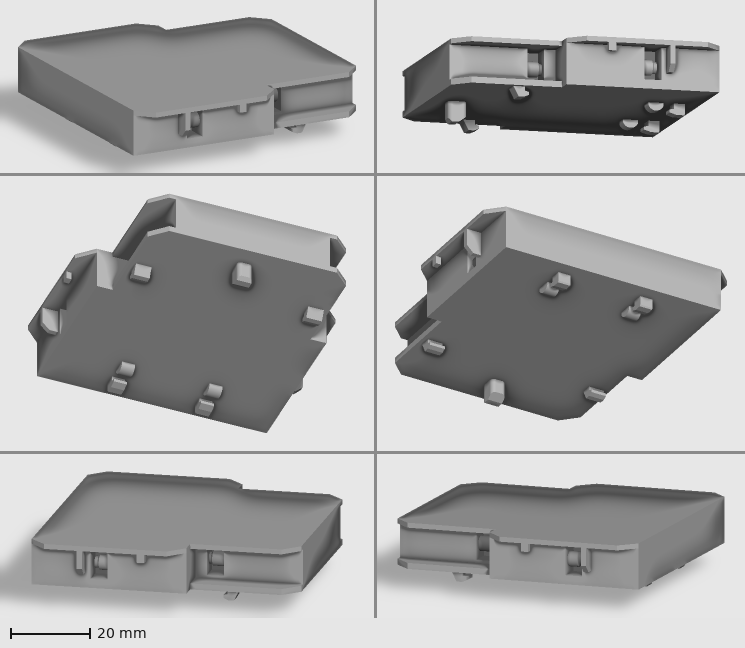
import cadquery as cq

length_y = 68.0
housing_height = 11.9
overall_height = 17.2
front_y = -length_y / 2
rear_y = length_y / 2

cover_width = 71.0
cover_thickness = 1.3
neck_width = 54.1
step_y = 6.1
corner_clip = 4.2

front_block_width = cover_width - 2 * corner_clip
rear_core_width = 42.0
base_flange_thickness = 1.55

short_tab_y = (-5.8, -3.9)
short_tab_drop = 2.1
short_tab_depth = 1.4
long_tab_y = (-21.4, -20.0)
long_tab_drop = 6.6
long_tab_clip = 1.9

window_length = 4.4
window_height = 8.3
window_depth = 5.7
front_window_y = -14.35
rear_window_y = 13.5

screw_head_diameter = 4.0
screw_head_length = 3.4
screw_tip_diameter = 3.0
screw_tip_length = 0.8
screw_cone_length = 0.4
screw_center_z = housing_height - 5.9
screw_inset = 3.4
front_screw_sink = 0.8

outer_hook_x = (21.4, 25.6)
outer_hook_y = (15.5, 18.45)
outer_hook_drop = 2.6
outer_hook_tip_y = (15.6, 17.1)
outer_barb_y = 14.4
outer_barb_drop = (1.1, 1.35, 2.1)
inner_hook_x = (10.15, 13.7)
inner_hook_y = (-29.9, -27.0)
inner_hook_drop = 2.9
inner_hook_tip_y = (-29.7, -27.7)
inner_hook_bevel_drop = 2.5
inner_barb_y = -25.85
inner_barb_drop = (1.35, 1.55, 2.35)
rounded_foot_y = -22.3
rounded_foot_width = 4.0
rounded_foot_side = 0.7
rounded_foot_drop = 2.05
key_width_x = 4.05
key_y = (24.1, 28.9)
key_drop = overall_height - housing_height
key_corner_radius = 1.1
key_tip_y = (26.1, 28.0)
key_front_bevel_drop = 3.75
key_rear_bevel_drop = 4.25

cover_bottom = housing_height - cover_thickness


def box(x_range, y_range, z_range):
    """Axis-aligned box between the given limits."""
    (x0, x1), (y0, y1), (z0, z1) = (sorted(limits) for limits in (x_range, y_range, z_range))
    return cq.Workplane("XY").box(x1 - x0, y1 - y0, z1 - z0, centered=False).translate((x0, y0, z0))


def side_profile(points, x_range):
    """Outline of (Y, Z) points extruded along X between two positions."""
    x0, x1 = x_range
    return cq.Workplane("YZ").polyline(points).close().extrude(x1 - x0).translate((x0, 0, 0))


def with_mirror(body):
    """A feature together with its mirror image on the other side of X = 0."""
    return body.union(body.mirror("YZ"))


def neck_plate(bottom, thickness):
    """Plate of the narrow rear area with its two rear corners clipped."""
    plate = box((-neck_width / 2, neck_width / 2), (0, rear_y), (bottom, bottom + thickness))
    return plate.faces(">Y").edges("|Z").chamfer(corner_clip)


def cover():
    wide = box((-cover_width / 2, cover_width / 2), (front_y, step_y), (cover_bottom, housing_height))
    wide = wide.edges("|Z").chamfer(corner_clip)
    return wide.union(neck_plate(cover_bottom, cover_thickness))


def walls():
    front_half = front_block_width / 2
    rear_half = rear_core_width / 2
    front_block = box((-front_half, front_half), (front_y, step_y), (0, cover_bottom))
    rear_core = box((-rear_half, rear_half), (0, rear_y), (0, cover_bottom))
    return front_block.union(rear_core).union(neck_plate(0, base_flange_thickness))


def cover_tabs():
    edge = -cover_width / 2
    short_tab = box((edge, edge + short_tab_depth), short_tab_y, (cover_bottom - short_tab_drop, cover_bottom))
    long_tab = box((edge, -front_block_width / 2), long_tab_y, (cover_bottom - long_tab_drop, cover_bottom))
    long_tab = long_tab.edges("<X and <Z").chamfer(long_tab_clip)
    return with_mirror(short_tab.union(long_tab))


def windows():
    z_range = (cover_bottom - window_height, cover_bottom)
    openings = cq.Workplane("XY")
    for wall_x, wall_y in ((front_block_width / 2, front_window_y), (rear_core_width / 2, rear_window_y)):
        opening = box((wall_x - window_depth, wall_x), (wall_y - window_length, wall_y), z_range)
        openings = openings.union(with_mirror(opening))
    return openings


def outer_hooks():
    """Slanted hooks with their barb toward the front."""
    stem_front, stem_rear = outer_hook_y
    tip_front, tip_rear = outer_hook_tip_y
    root, nose_top, nose_bottom = outer_barb_drop
    points = [
        (stem_rear, 0), (tip_rear, -outer_hook_drop), (tip_front, -outer_hook_drop),
        (outer_barb_y, -nose_bottom), (outer_barb_y, -nose_top), (stem_front, -root), (stem_front, 0),
    ]
    return with_mirror(side_profile(points, outer_hook_x))


def inner_hooks():
    """Upright hooks with their barb toward the rear."""
    stem_front, stem_rear = inner_hook_y
    tip_front, tip_rear = inner_hook_tip_y
    root, nose_top, nose_bottom = inner_barb_drop
    points = [
        (stem_front, 0), (stem_front, -inner_hook_bevel_drop),
        (tip_front, -inner_hook_drop), (tip_rear, -inner_hook_drop),
        (inner_barb_y, -nose_bottom), (inner_barb_y, -nose_top), (stem_rear, -root), (stem_rear, 0),
    ]
    return with_mirror(side_profile(points, inner_hook_x))


def rounded_feet():
    half = rounded_foot_width / 2
    x0, x1 = inner_hook_x
    foot = (
        cq.Workplane("YZ")
        .moveTo(rounded_foot_y - half, 0)
        .lineTo(rounded_foot_y - half, -rounded_foot_side)
        .threePointArc((rounded_foot_y, -rounded_foot_drop), (rounded_foot_y + half, -rounded_foot_side))
        .lineTo(rounded_foot_y + half, 0)
        .close()
        .extrude(x1 - x0)
        .translate((x0, 0, 0))
    )
    return with_mirror(foot)


def key():
    """Rounded peg whose tip is bevelled on the front and rear."""
    y0, y1 = key_y
    tip_front, tip_rear = key_tip_y
    half = key_width_x / 2
    peg = box((-half, half), key_y, (-key_drop, 0)).edges("|Z").fillet(key_corner_radius)
    tip = [
        (y0, 0), (y0, -key_front_bevel_drop), (tip_front, -key_drop),
        (tip_rear, -key_drop), (y1, -key_rear_bevel_drop), (y1, 0),
    ]
    return peg.intersect(side_profile(tip, (-half, half)))


def screw(x, head_y):
    """Stepped round screw whose head begins at head_y and whose tip points toward -Y."""
    head_radius = screw_head_diameter / 2
    tip_radius = screw_tip_diameter / 2
    cone_start = screw_head_length
    tip_start = cone_start + screw_cone_length
    tip_end = tip_start + screw_tip_length
    outline = [
        (0, 0), (head_radius, 0), (head_radius, -cone_start),
        (tip_radius, -tip_start), (tip_radius, -tip_end), (0, -tip_end),
    ]
    body = cq.Workplane("XY").polyline(outline).close().revolve(360, (0, 0, 0), (0, 1, 0))
    return body.translate((x, head_y, screw_center_z))


def make_screws():
    front_x = front_block_width / 2 - screw_inset
    rear_x = rear_core_width / 2 - screw_inset
    placed = []
    for side in (-1, 1):
        placed.append(screw(side * front_x, front_window_y + front_screw_sink))
        placed.append(screw(side * rear_x, rear_window_y))
    return placed


def make_housing(screw_bodies):
    """One solid housing with the screw seats cut out of it."""
    body = cover().union(walls()).union(cover_tabs()).cut(windows())
    for foot in (outer_hooks(), inner_hooks(), rounded_feet(), key()):
        body = body.union(foot)
    for screw_body in screw_bodies:
        body = body.cut(screw_body)
    return body.clean().solids()


screws = make_screws()
housing = make_housing(screws)

result = cq.Compound.makeCompound([housing.val(), *[screw_body.val() for screw_body in screws]])